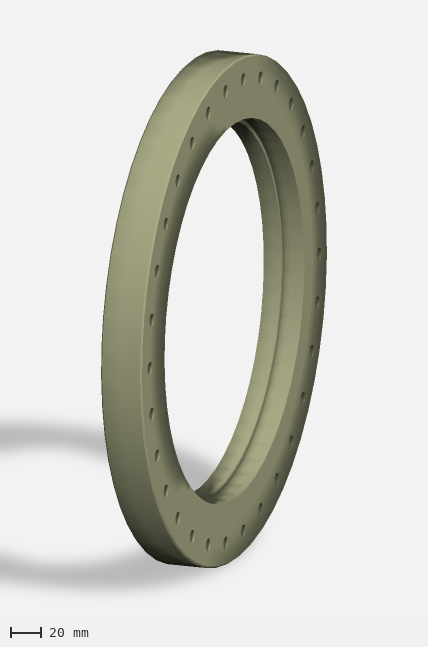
import cadquery as cq

outer_diameter = 336.5
thickness = 28.5
rim_chamfer = 1.0
bore_diameter = 247.5

socket_diameter = 253.0
socket_depth = 14.8

recess_diameter = 294.0
recess_depth = 1.5
knife_diameter = 288.8
knife_root_depth = 1.7
knife_tip_depth = 0.7
knife_inner_width = 0.5

bolt_count = 30
bolt_circle_diameter = 306.3
bolt_hole_diameter = 8.5

front_x = -thickness / 2
rear_x = thickness / 2


def flange_body():
    """Revolve the half section, given as (x, radius), around the X axis."""
    outer_radius = outer_diameter / 2
    bore_radius = bore_diameter / 2
    socket_radius = socket_diameter / 2
    recess_radius = recess_diameter / 2
    knife_radius = knife_diameter / 2
    floor_x = front_x + recess_depth
    socket_x = rear_x - socket_depth
    section = [
        (floor_x, bore_radius),
        (floor_x, knife_radius - knife_inner_width),
        (front_x + knife_tip_depth, knife_radius),
        (front_x + knife_root_depth, recess_radius),
        (front_x, recess_radius),
        (front_x, outer_radius - rim_chamfer),
        (front_x + rim_chamfer, outer_radius),
        (rear_x - rim_chamfer, outer_radius),
        (rear_x, outer_radius - rim_chamfer),
        (rear_x, socket_radius),
        (socket_x, socket_radius),
        (socket_x, bore_radius),
    ]
    return cq.Workplane("XZ").polyline(section).close().revolve(360, (0, 0, 0), (1, 0, 0))


def bolt_holes():
    """Through-hole cutters, the first one lying on the Y axis."""
    return (
        cq.Workplane("YZ", origin=(front_x, 0, 0))
        .polarArray(bolt_circle_diameter / 2, 0, 360, bolt_count)
        .circle(bolt_hole_diameter / 2)
        .extrude(thickness)
    )


result = flange_body().cut(bolt_holes())